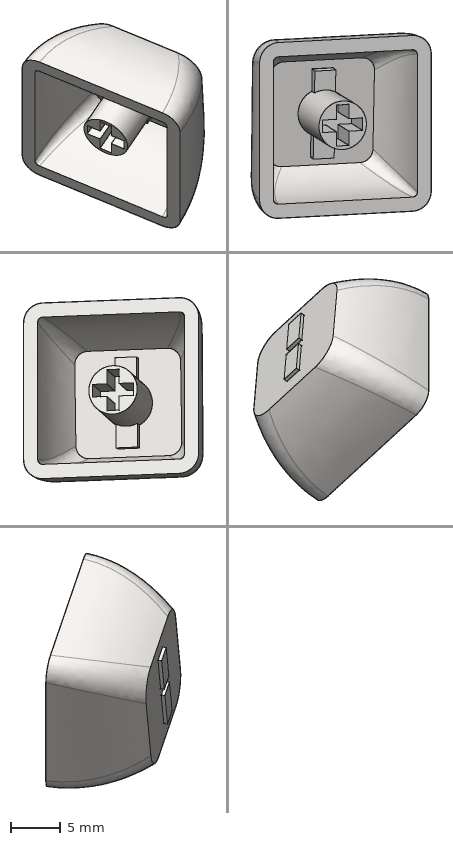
import cadquery as cq
import math

RIM_SIZE = 18.1
RIM_CORNER = 2.0
WALL = 1.47

CAP_DEPTH = 10.05
BACK_TILT = 3.9
BACK_SIZE = 12.67
BACK_CORNER = 2.65
FLOOR_CORNER = 1.34
FLOOR_DEPTH = CAP_DEPTH - WALL

INWARD_CURVE = (RIM_SIZE - BACK_SIZE) / 2
SIDE_RADIUS = (CAP_DEPTH**2 + INWARD_CURVE**2) / (2 * INWARD_CURVE)
SECTIONS = 6

STEM_DIAMETER = 5.0
STEM_RECESS = 1.0
SOCKET_LENGTH = 4.22
SOCKET_WIDTH = 1.29
SOCKET_DEPTH = 3.98

BAR_WIDTH = 2.2
BAR_LENGTH = 9.2
BAR_THICKNESS = 1.0

POST_WIDTH = 1.95
POST_LENGTH = 4.04
POST_RISE = 0.38
POST_SPACING = 4.92
POST_OFFSET = 0.09


def tilted_plane(depth, tilt):
    """Plane across the cap axis: local x is X, local y is nearly Z, the normal points to the rim."""
    angle = math.radians(tilt)
    normal = (0, -math.cos(angle), -math.sin(angle))
    return cq.Plane(origin=(0, depth, 0), xDir=(1, 0, 0), normal=normal)


def floor_workplane():
    """Workplane on the cavity floor, with its normal toward the rim."""
    return cq.Workplane(tilted_plane(FLOOR_DEPTH, BACK_TILT))


def rounded_square(plane, size, corner):
    """Closed wire of a square with rounded corners, centred on the plane."""
    half = size / 2
    straight = half - corner
    diagonal = straight + corner * math.sqrt(0.5)
    outline = cq.Workplane(plane).moveTo(-straight, -half)
    outline = outline.lineTo(straight, -half).threePointArc((diagonal, -diagonal), (half, -straight))
    outline = outline.lineTo(half, straight).threePointArc((diagonal, diagonal), (straight, half))
    outline = outline.lineTo(-straight, half).threePointArc((-diagonal, diagonal), (-half, straight))
    outline = outline.lineTo(-half, -straight).threePointArc((-diagonal, -diagonal), (-straight, -half))
    return outline.close().val()


def curved_block(inset, depth, end_corner):
    """Cap shape moved inward by inset, from the rim plane to a tilted end face at depth."""
    radius = SIDE_RADIUS - inset
    start_corner = RIM_CORNER - inset
    wires = []
    for index in range(SECTIONS):
        share = index / (SECTIONS - 1)
        level = share * depth
        narrowing = radius - math.sqrt(radius**2 - level**2)
        size = RIM_SIZE - 2 * (inset + narrowing)
        corner = start_corner + share * (end_corner - start_corner)
        wires.append(rounded_square(tilted_plane(level, share * BACK_TILT), size, corner))
    return cq.Workplane(cq.Solid.makeLoft(wires))


def make_stem():
    """Round stem from its tip to the cavity floor."""
    tip = cq.Workplane("XZ", origin=(0, STEM_RECESS, 0))
    stem = tip.circle(STEM_DIAMETER / 2).extrude(-CAP_DEPTH)
    beyond_floor = floor_workplane().rect(RIM_SIZE, RIM_SIZE).extrude(-CAP_DEPTH)
    return stem.cut(beyond_floor)


def make_socket():
    """Cross-shaped socket volume, open at the stem tip."""
    tip = cq.Workplane("XZ", origin=(0, STEM_RECESS, 0))
    flat_arm = tip.rect(SOCKET_LENGTH, SOCKET_WIDTH).extrude(-SOCKET_DEPTH)
    upright_arm = tip.rect(SOCKET_WIDTH, SOCKET_LENGTH).extrude(-SOCKET_DEPTH)
    return flat_arm.union(upright_arm)


def make_bar():
    """Flat bar standing on the cavity floor."""
    return floor_workplane().rect(BAR_WIDTH, BAR_LENGTH).extrude(BAR_THICKNESS)


def make_posts():
    """Two posts from the cavity floor through the back wall."""
    centers = [(0, POST_OFFSET + side * POST_SPACING / 2) for side in (-1, 1)]
    posts = floor_workplane().pushPoints(centers).rect(POST_WIDTH, POST_LENGTH)
    return posts.extrude(-(WALL + POST_RISE))


def make_insert():
    """Stem, bar and posts as one solid, with the socket cut into the stem."""
    return make_stem().union(make_bar()).union(make_posts()).cut(make_socket())


def make_cap(insert):
    """Hollow cap with openings in its back wall that match the posts of the insert."""
    outside = curved_block(0, CAP_DEPTH, BACK_CORNER)
    cavity = curved_block(WALL, FLOOR_DEPTH, FLOOR_CORNER)
    return outside.cut(cavity).cut(insert)


insert = make_insert()
cap = make_cap(insert)

result = cq.Compound.makeCompound([cap.solids().val(), insert.solids().val()])